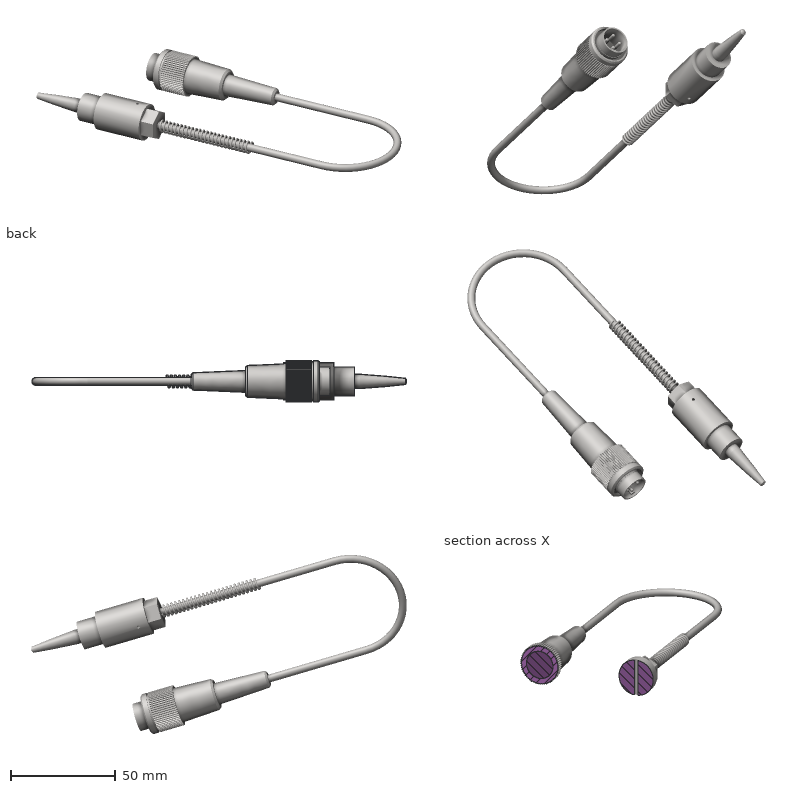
import cadquery as cq
import math

cable_dia = 3.8
bend_radius = 25.0
axis_spacing = 2 * bend_radius
overall_length = 179.7
bend_start = overall_length - bend_radius - cable_dia / 2
spring_dia = 6.3
wire_dia = 1.0
spring_turns = 25
spring_length = 50.0
spring_pitch = spring_length / spring_turns

tip_end_dia = 3.0
tip_middle_dia = 5.0
tip_base_dia = 7.0
lens_dia = 2.5
lens_height = 0.5
tip_middle_x = 9.9
tip_collar_x = 22.3
nose_x = 25.0
barrel_x = 34.9
nut_x = 59.0
nut_end_x = 65.5
nose_dia = 13.8
barrel_dia = 18.0
nut_flats = 13.0
vent_dia = 1.5
vent_x = 54.0

shell_x = 36.8
ring_x = 41.7
ring_end_x = 57.9
boot_shoulder_x = 76.2
boot_neck_x = 77.3
boot_end_x = 103.3
shell_dia = 13.7
shell_collar_dia = 14.0
shell_rim_bore_dia = 12.2
shell_floor_dia = 10.2
shell_bore_depth = 9.0
pin_dia = 1.5
pin_chamfer = 0.4
pin_count = 4
pin_circle_radius = 3.5
pin_recess = 1.0
key_width = 2.2
key_top_z = -4.9

ring_dia = 20.0
ring_recess_dia = 17.0
ring_recess_depth = 1.8
ring_chamfer = 0.7
band_length = 3.0
knurl_count = 60
knurl_depth = 0.5
groove_width = 0.9

boot_dia = 17.0
boot_shoulder_dia = 15.5
boot_neck_dia = 13.7
sleeve_dia = 10.6
sleeve_end_dia = 8.5
sleeve_chamfer = 0.9


def cylinder(start, end, diameter, y=0.0, z=0.0):
    """Cylinder along X from start to end."""
    return cq.Workplane("YZ", origin=(start, y, z)).circle(diameter / 2).extrude(end - start)


def turned(profile, y=0.0):
    """Solid turned about an axis along X; the profile lists (x, diameter) points."""
    points = [(x, diameter / 2) for x, diameter in profile]
    outline = [(points[0][0], 0)] + points + [(points[-1][0], 0)]
    solid = cq.Workplane("XY").polyline(outline).close().revolve(360, (0, 0, 0), (1, 0, 0))
    return solid.translate((0, y, 0))


def make_tip():
    tip = turned([
        (lens_height, tip_end_dia),
        (tip_middle_x, tip_middle_dia),
        (tip_collar_x, tip_base_dia),
        (nose_x, tip_base_dia),
    ])
    lens_radius = lens_dia / 2
    lens = (
        cq.Workplane("XY")
        .moveTo(lens_height, 0)
        .lineTo(lens_height, lens_radius)
        .radiusArc((0, 0), -(lens_radius**2 + lens_height**2) / (2 * lens_height))
        .close()
        .revolve(360, (0, 0, 0), (1, 0, 0))
    )
    return tip.union(lens)


def make_barrel():
    barrel = cylinder(nose_x, barrel_x, nose_dia).union(cylinder(barrel_x, nut_x, barrel_dia))
    vent = cq.Workplane("XY").center(vent_x, 0).circle(vent_dia / 2).extrude(barrel_dia, both=True)
    return barrel.cut(vent)


def make_nut():
    corner_dia = nut_flats / math.cos(math.pi / 6)
    nut = cq.Workplane("YZ", origin=(nut_x, 0, 0)).polygon(6, corner_dia).extrude(nut_end_x - nut_x)
    return nut.rotate((0, 0, 0), (1, 0, 0), 90)


def make_spring():
    """Round wire wound around the cable, starting at the nut."""
    coil_radius = (spring_dia - wire_dia) / 2
    height = spring_length - wire_dia
    helix = cq.Wire.makeHelix(spring_pitch, height, coil_radius)
    wire = cq.Workplane("XZ", origin=(coil_radius, 0, 0)).circle(wire_dia / 2)
    spring = wire.sweep(cq.Workplane(helix), isFrenet=True)
    spring = spring.rotate((0, 0, 0), (0, 1, 0), 90)
    return spring.translate((nut_end_x + wire_dia / 2, 0, 0))


def make_cable():
    path = (
        cq.Workplane("XY")
        .moveTo(nut_end_x, 0)
        .lineTo(bend_start, 0)
        .threePointArc((bend_start + bend_radius, bend_radius), (bend_start, axis_spacing))
        .lineTo(boot_end_x, axis_spacing)
    )
    return cq.Workplane("YZ", origin=(nut_end_x, 0, 0)).circle(cable_dia / 2).sweep(path)


def make_shell():
    """Connector shell with four contact pins and a key rib inside its bore."""
    floor_x = shell_x + shell_bore_depth
    shell = turned([
        (shell_x, shell_dia),
        (ring_x, shell_dia),
        (ring_x, shell_collar_dia),
        (ring_end_x, shell_collar_dia),
    ], axis_spacing)
    shell = shell.cut(turned([(shell_x, shell_rim_bore_dia), (floor_x, shell_floor_dia)], axis_spacing))
    for i in range(pin_count):
        angle = 2 * math.pi * i / pin_count
        y = axis_spacing + pin_circle_radius * math.cos(angle)
        z = pin_circle_radius * math.sin(angle)
        pin = cylinder(shell_x + pin_recess, floor_x, pin_dia, y, z)
        shell = shell.union(pin.faces("<X").chamfer(pin_chamfer))
    key_bottom_z = -(shell_rim_bore_dia + shell_dia) / 4
    key = cq.Workplane("XY").box(
        shell_bore_depth - pin_recess, key_width, key_top_z - key_bottom_z, centered=(False, True, False)
    )
    return shell.union(key.translate((shell_x + pin_recess, axis_spacing, key_bottom_z)))


def make_ring():
    """Knurled coupling ring, open around the shell at its front."""
    knurl_x = ring_x + band_length
    root_dia = ring_dia - 2 * knurl_depth
    ring = turned([
        (ring_x, ring_dia - 2 * ring_chamfer),
        (ring_x + ring_chamfer, ring_dia),
        (knurl_x, ring_dia),
        (knurl_x, root_dia),
        (ring_end_x, root_dia),
    ])
    tooth_angle = 2 * math.pi / knurl_count
    outline = []
    for i in range(knurl_count):
        for step, diameter in enumerate((root_dia, ring_dia, ring_dia, root_dia)):
            angle = (i + step / 4) * tooth_angle
            outline.append((diameter / 2 * math.cos(angle), diameter / 2 * math.sin(angle)))
    knurl = (
        cq.Workplane("YZ", origin=(knurl_x + groove_width, 0, 0))
        .polyline(outline)
        .close()
        .extrude(ring_end_x - knurl_x - groove_width)
    )
    ring = ring.union(knurl).cut(cylinder(ring_x, ring_end_x, shell_collar_dia))
    ring = ring.cut(cylinder(ring_x, ring_x + ring_recess_depth, ring_recess_dia))
    return ring.translate((0, axis_spacing, 0))


def make_boot():
    return turned([
        (ring_end_x, boot_dia),
        (boot_shoulder_x, boot_shoulder_dia),
        (boot_neck_x, boot_neck_dia),
        (boot_neck_x, sleeve_dia),
        (boot_end_x - sleeve_chamfer, sleeve_end_dia),
        (boot_end_x, sleeve_end_dia - 2 * sleeve_chamfer),
    ], axis_spacing)


tip = make_tip()
barrel = make_barrel()
nut = make_nut()
spring = make_spring()
cable = make_cable()
shell = make_shell()
ring = make_ring()
boot = make_boot()

result = cq.Compound.makeCompound([
    tip.val(),
    barrel.val(),
    nut.val(),
    spring.val(),
    cable.val(),
    shell.val(),
    ring.val(),
    boot.val(),
])